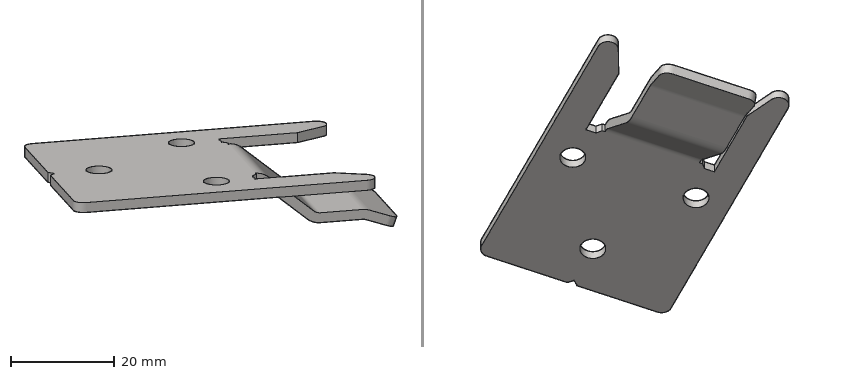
import cadquery as cq
import math

sheet_thickness = 2.0
overall_length = 67.4
half_width = 40.0 / 2
corner_radius = 2.0

prong_end_y = 60.3
prong_inner_x = 13.55
taper_start_y = 53.35
taper_angle = math.radians(24.5)

slot_floor_y = 37.6
tab_root_y = 38.6
relief_top_x = 10.6
relief_bottom_x = 11.45

hole_diameter = 5.0
hole_centres = [(-13.0, 30.0), (13.0, 30.0), (0, 10.0)]
notch_size = 1.0

tab_width = 19.95
inner_bend_radius = 2.0
outer_bend_radius = inner_bend_radius + sheet_thickness
slope_angle = math.radians(40)
tip_angle = math.radians(20)
slope_length = 11.85
tip_length = 6.35
root_overlap = 2.0


def make_plate():
    tip_x = half_width - corner_radius
    tip_y = prong_end_y - corner_radius
    tangent_x = tip_x - corner_radius * math.cos(taper_angle)
    tangent_y = tip_y + corner_radius * math.sin(taper_angle)

    right_half = (
        cq.Workplane("XY")
        .moveTo(0, notch_size)
        .lineTo(notch_size, 0)
        .lineTo(half_width - corner_radius, 0)
        .radiusArc((half_width, corner_radius), -corner_radius)
        .lineTo(half_width, tip_y)
        .threePointArc((tip_x, prong_end_y), (tangent_x, tangent_y))
        .lineTo(prong_inner_x, taper_start_y)
        .lineTo(prong_inner_x, slot_floor_y)
        .lineTo(relief_bottom_x, slot_floor_y)
        .lineTo(relief_top_x, tab_root_y)
        .lineTo(0, tab_root_y)
        .close()
        .extrude(-sheet_thickness)
    )
    plate = right_half.union(right_half.mirror("YZ")).clean()
    holes = (
        cq.Workplane("XY")
        .pushPoints(hole_centres)
        .circle(hole_diameter / 2)
        .extrude(-sheet_thickness)
    )
    return plate.cut(holes)


def below(point, angle):
    """Point on the lower sheet face opposite a point on the upper face."""
    y, z = point
    return (y - sheet_thickness * math.sin(angle), z - sheet_thickness * math.cos(angle))


def straight(start, length, angle):
    """End of a straight stretch descending at the given angle."""
    return (start[0] + length * math.cos(angle), start[1] - length * math.sin(angle))


def bend(start, radius, angle):
    """End of an arc that turns between level and the given descent angle."""
    return (start[0] + radius * math.sin(angle), start[1] - radius * (1 - math.cos(angle)))


def make_tab():
    root = (tab_root_y, 0)
    slope_start = bend(root, outer_bend_radius, slope_angle)
    slope_end = straight(slope_start, slope_length, slope_angle)
    level_start = bend(slope_end, inner_bend_radius, slope_angle)
    tip_reach = outer_bend_radius * math.sin(tip_angle) + tip_length * math.cos(tip_angle)
    level_end = (overall_length - tip_reach, level_start[1])
    tip_start = bend(level_end, outer_bend_radius, tip_angle)
    tip_end = straight(tip_start, tip_length, tip_angle)

    tab = (
        cq.Workplane("YZ")
        .moveTo(tab_root_y - root_overlap, 0)
        .lineTo(*root)
        .radiusArc(slope_start, outer_bend_radius)
        .lineTo(*slope_end)
        .radiusArc(level_start, -inner_bend_radius)
        .lineTo(*level_end)
        .radiusArc(tip_start, outer_bend_radius)
        .lineTo(*tip_end)
        .lineTo(*below(tip_end, tip_angle))
        .lineTo(*below(tip_start, tip_angle))
        .radiusArc(below(level_end, 0), -inner_bend_radius)
        .lineTo(*below(level_start, 0))
        .radiusArc(below(slope_end, slope_angle), outer_bend_radius)
        .lineTo(*below(slope_start, slope_angle))
        .radiusArc(below(root, 0), -inner_bend_radius)
        .lineTo(tab_root_y - root_overlap, -sheet_thickness)
        .close()
        .extrude(tab_width / 2, both=True)
    )
    tip_normal = cq.Vector(0, math.sin(tip_angle), math.cos(tip_angle))
    tip_corners = cq.selectors.ParallelDirSelector(tip_normal)
    return tab.edges(tip_corners).fillet(corner_radius)


result = make_plate().union(make_tab())